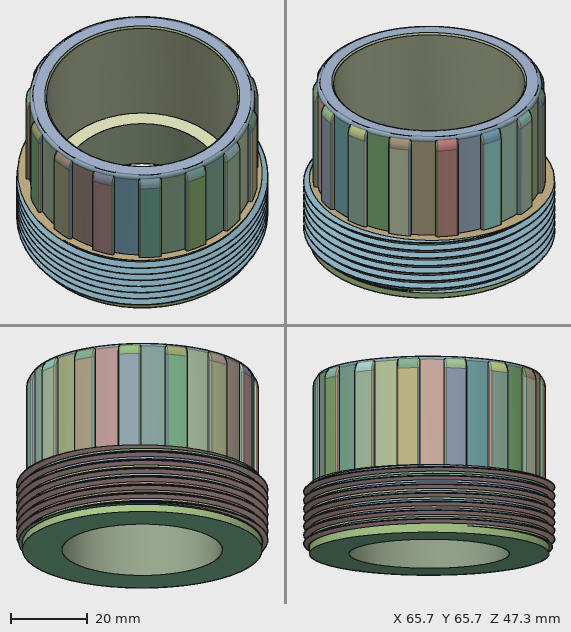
import cadquery as cq
import math

height = 47.3
collar_radius = 29.45
collar_top_round = 1.0

socket_mouth_radius = 25.05
socket_seat_radius = 24.85
socket_depth = 32.2
socket_chamfer = 0.45
through_radius = 42.0 / 2

thread_outer_radius = 32.85
thread_root_radius = 62.75 / 2
thread_bottom = 2.0
thread_top = 18.0
thread_pitch = 2.3
thread_start = 0.7
thread_half_angle = math.radians(27.5)
thread_crest_width = 0.2
thread_overlap = 0.2
trim_margin = 0.65

rib_count = 15
rib_width = 6.0
rib_outer_radius = 30.4
rib_inner_radius = 26.3
rib_edge_round = 0.45
rib_shoulder_start = 43.95
rib_shoulder_round = 4.0


def cylinder(radius, bottom, top):
    return cq.Workplane("XY").workplane(offset=bottom).circle(radius).extrude(top - bottom)


def make_collar():
    """Solid collar above the thread, rounded at its top edge."""
    return cylinder(collar_radius, thread_top, height).faces(">Z").edges().fillet(collar_top_round)


def make_ribs():
    """Evenly spaced grip ribs with rounded edges and a rounded top shoulder."""
    rib = (
        cq.Workplane("XY")
        .workplane(offset=thread_top)
        .center(0, -(rib_inner_radius + rib_outer_radius) / 2)
        .rect(rib_width, rib_outer_radius - rib_inner_radius)
        .extrude(height - thread_top)
    )
    shoulder_crown = rib_shoulder_start + rib_shoulder_round
    envelope = cylinder(rib_outer_radius, thread_top, shoulder_crown)
    envelope = envelope.faces(">Z").edges().fillet(rib_shoulder_round)
    rib = rib.intersect(envelope)
    rib = rib.edges("|Z").edges("<Y").fillet(rib_edge_round)
    angles = [index * 360 / rib_count for index in range(rib_count)]
    return [rib.rotate((0, 0, 0), (0, 0, 1), angle).val() for angle in angles]


def make_threaded_base():
    """Core with a right-handed helical ridge, trimmed flat at both ends, and a plain foot below."""
    base_radius = thread_root_radius - thread_overlap
    half_crest = thread_crest_width / 2
    half_base = half_crest + (thread_outer_radius - base_radius) * math.tan(thread_half_angle)
    helix_length = thread_top + thread_pitch - thread_start
    helix = cq.Wire.makeHelix(thread_pitch, helix_length, base_radius)
    ridge = (
        cq.Workplane("XZ")
        .polyline(
            [
                (base_radius, -half_base),
                (thread_outer_radius, -half_crest),
                (thread_outer_radius, half_crest),
                (base_radius, half_base),
            ]
        )
        .close()
        .sweep(cq.Workplane(helix), isFrenet=True)
        .translate((0, 0, thread_start))
    )
    core = cylinder(thread_root_radius, -thread_pitch, thread_top + 2 * thread_pitch)
    trim = cylinder(thread_outer_radius + trim_margin, thread_bottom, thread_top)
    foot = cylinder(thread_root_radius, 0, thread_bottom)
    return core.union(ridge).intersect(trim).union(foot)


def make_cavity():
    """Slightly tapered, chamfered socket that ends on a seat above the through hole."""
    seat = height - socket_depth
    return (
        cq.Workplane("XZ")
        .polyline(
            [
                (0, 0),
                (through_radius, 0),
                (through_radius, seat),
                (socket_seat_radius, seat),
                (socket_mouth_radius, height - socket_chamfer),
                (socket_mouth_radius + socket_chamfer, height),
                (0, height),
            ]
        )
        .close()
        .revolve(360, (0, 0, 0), (0, 1, 0))
    )


cavity = make_cavity()
ribbed_collar = cq.Workplane(make_collar().val().fuse(*make_ribs())).cut(cavity)
threaded_base = make_threaded_base().cut(cavity)
result = threaded_base.union(ribbed_collar, glue=True)